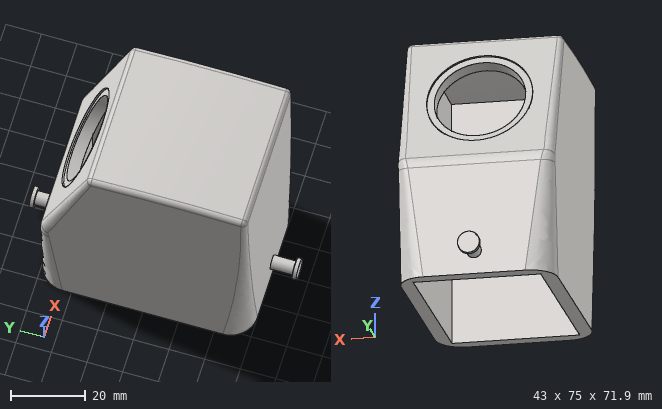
import cadquery as cq
import math

width = 43.0
base_length = 60.0
height = 71.93
end_draft = 0.75
wall = 4.0

front_top_y = -29.05
shoulder_y = 15.6
top_edge_z = 71.3

bend_z = 32.8
bend_radius = 9.0

base_radius = 7.5
bend_low_radius = 3.3
bend_high_radius = 2.6
edge_radius = 1.5

entry_diameter = 25.0
recess_diameter = 29.0
recess_depth = 0.5
entry_y = 22.5
entry_cut_depth = 8.0

pin_z = 6.5
pin_diameter = 4.0
pin_head_diameter = 6.0
pin_head_thickness = 1.2
pin_span = 75.0

half_length = base_length / 2
half_width = width / 2
bend_y = half_length - bend_z * math.tan(math.radians(end_draft))
slope_angle = math.atan2(bend_y - shoulder_y, top_edge_z - bend_z)
bend_tangent_length = bend_radius * math.tan((slope_angle - math.radians(end_draft)) / 2)
bend_low_z = bend_z - bend_tangent_length * math.cos(math.radians(end_draft))
bend_high_z = bend_z + bend_tangent_length * math.cos(slope_angle)


def side_profile(bottom_z):
    """Sharp-cornered side outline in the YZ plane, with the end faces carried down to bottom_z."""
    lean = bottom_z * math.tan(math.radians(end_draft))
    return (
        cq.Workplane("YZ")
        .moveTo(lean - half_length, bottom_z)
        .lineTo(half_length - lean, bottom_z)
        .lineTo(bend_y, bend_z)
        .lineTo(shoulder_y, top_edge_z)
        .threePointArc(((front_top_y + shoulder_y) / 2, height), (front_top_y, top_edge_z))
        .close()
    )


def hood_blank():
    """Side outline extruded across the full width, with only the bend rounded."""
    bend_edge = cq.NearestToPointSelector((0, bend_y, bend_z))
    return side_profile(0).extrude(half_width, both=True).edges(bend_edge).fillet(bend_radius)


def front_corner_radius(z):
    """Radius falling quadratically from the base to the top."""
    return edge_radius + (base_radius - edge_radius) * (1 - z / top_edge_z) ** 2


def blend(start, end, share):
    """Value lying the given share (0 to 1) of the way from start to end."""
    return start + share * (end - start)


def back_corner_radius(z):
    """Radius falling linearly along the end face, the bend and the slope in turn."""
    if z < bend_low_z:
        return blend(base_radius, bend_low_radius, z / bend_low_z)
    if z < bend_high_z:
        return blend(bend_low_radius, bend_high_radius, (z - bend_low_z) / (bend_high_z - bend_low_z))
    return blend(bend_high_radius, edge_radius, (z - bend_high_z) / (top_edge_z - bend_high_z))


def radius_stations(radius_at, z_start, z_end):
    """Pairs of edge parameter (0 to 1) and radius along one corner edge."""
    intervals = 10
    stations = cq.occ_impl.shapes.TColgp_HArray1OfPnt2d(1, intervals + 1)
    for i in range(intervals + 1):
        share = i / intervals
        radius = radius_at(blend(z_start, z_end, share))
        stations.SetValue(i + 1, cq.occ_impl.shapes.gp_Pnt2d(share, radius))
    return stations


def round_edges(blank):
    """Round the upright corners with a varying radius and the top edges evenly."""
    fillet = cq.occ_impl.shapes.BRepFilletAPI_MakeFillet(blank.val().wrapped)

    for edge in blank.faces("<Y or >Y").edges("not |X").vals():
        radius_at = front_corner_radius if edge.Center().y < 0 else back_corner_radius
        fillet.Add(edge.wrapped)
        contour = fillet.NbContours()
        rising = cq.Vertex(fillet.FirstVertex(contour)).Z < bend_z
        for index in range(1, fillet.NbEdges(contour) + 1):
            extent = cq.Edge(fillet.Edge(contour, index)).BoundingBox()
            z_start, z_end = (extent.zmin, extent.zmax) if rising else (extent.zmax, extent.zmin)
            fillet.SetRadius(radius_stations(radius_at, z_start, z_end), contour, index)

    for edge in blank.faces(">Z").edges().vals():
        fillet.Add(edge_radius, edge.wrapped)
    return cq.Workplane(obj=cq.Shape.cast(fillet.Shape()))


def cavity():
    """Space inside the hood, one wall thickness from every face and running out below the base."""
    inside = side_profile(-2 * wall).offset2D(-wall, "intersection")
    return inside.extrude(half_width - wall, both=True)


def cable_entry():
    """Hole through the sloped face with a shallow recess around its rim."""
    entry_z = bend_z + (bend_y - entry_y) / math.tan(slope_angle)
    outward = (0, math.cos(slope_angle), math.sin(slope_angle))
    face = cq.Workplane(cq.Plane(origin=(0, entry_y, entry_z), xDir=(1, 0, 0), normal=outward))
    recess = face.circle(recess_diameter / 2).extrude(-recess_depth)
    hole = face.circle(entry_diameter / 2).extrude(-entry_cut_depth)
    return recess.union(hole)


def locking_pin(direction):
    """Headed pin on one end face; direction is +1 for +Y and -1 for -Y."""
    root_y = half_length - wall / 2
    tip_y = pin_span / 2
    tip = cq.Workplane("XZ", origin=(0, direction * tip_y, pin_z))
    shank = tip.circle(pin_diameter / 2).extrude(direction * (tip_y - root_y))
    head = tip.circle(pin_head_diameter / 2).extrude(direction * pin_head_thickness)
    return shank.union(head)


result = round_edges(hood_blank()).cut(cavity()).cut(cable_entry())
for end in (1, -1):
    result = result.union(locking_pin(end))